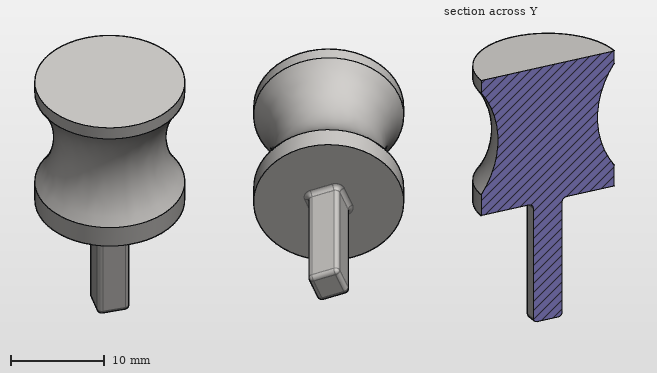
import cadquery as cq

head_diameter = 16.0
head_height = 16.0
top_rim_height = 1.5
bottom_rim_height = 2.5
waist_depth = 2.0

shank_width = 3.5
shank_length = 14.0
shank_fillet = 0.5


def make_head():
    """Revolved head with its underside on Z = 0 and a concave waist between two rims."""
    rim_radius = head_diameter / 2
    waist_radius = rim_radius - waist_depth
    waist_bottom = bottom_rim_height
    waist_top = head_height - top_rim_height
    waist_middle = (waist_bottom + waist_top) / 2
    profile = (
        cq.Workplane("XZ")
        .lineTo(rim_radius, 0)
        .lineTo(rim_radius, waist_bottom)
        .threePointArc((waist_radius, waist_middle), (rim_radius, waist_top))
        .lineTo(rim_radius, head_height)
        .lineTo(0, head_height)
        .close()
    )
    return profile.revolve(360, (0, 0, 0), (0, 1, 0))


def make_shank():
    """Square shank hanging from Z = 0, with rounded long edges and a rounded tip."""
    return (
        cq.Workplane("XY")
        .rect(shank_width, shank_width)
        .extrude(-shank_length)
        .edges("|Z or <Z")
        .fillet(shank_fillet)
    )


def fillet_shank_root(knob):
    """Blend the shank into the underside of the head."""
    reach = shank_width / 2 + shank_fillet
    root_zone = cq.selectors.BoxSelector(
        (-reach, -reach, -shank_fillet),
        (reach, reach, shank_fillet),
        boundingbox=True,
    )
    return knob.edges(root_zone).fillet(shank_fillet)


result = fillet_shank_root(make_head().union(make_shank()))